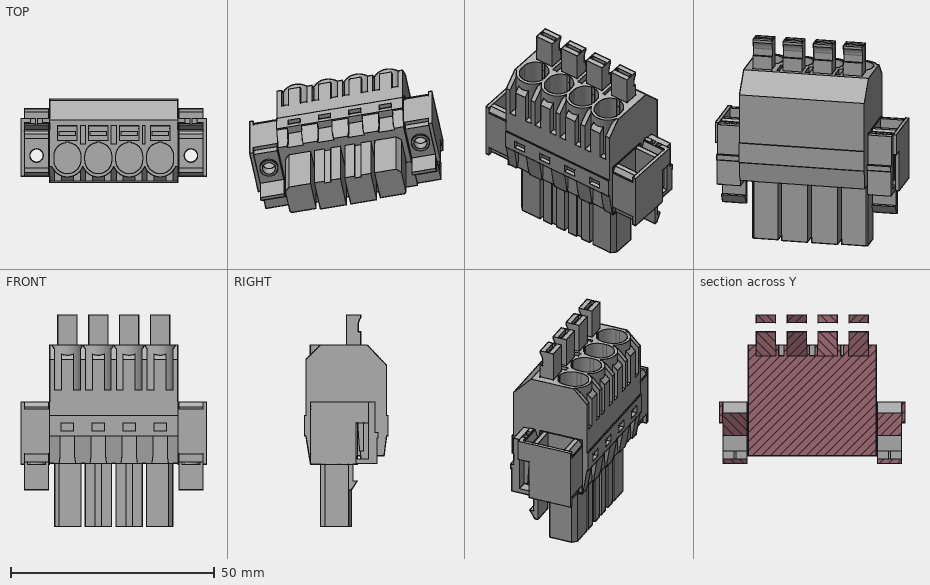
import cadquery as cq


pitch = 7.6
pole_xs = [(i - 1.5) * pitch for i in range(4)]

body_width = 31.55
half_body = body_width / 2
body_half_depth = 9.95
body_top = 44.7
back_bevel_depth = 4.8
back_bevel_height = 5.0
front_bevel = 3.6

band_depth = 20.6
band_half_depth = band_depth / 2
band_top = 27.35
band_bottom = 22.3
skirt_front_bottom = 15.6
skirt_back_bottom = 17.4
skirt_front_foot = 8.85
skirt_back_foot = 9.35

window_width = 3.0
window_bottom = 23.55
window_height = 2.0
window_depth = 1.05
channel_half_width = 1.75
channel_flare = 0.25
channel_flare_z = 17.45
channel_floor_y = -8.45

entry_floor = 33.6
collar_radius = 4.05
collar_y = -4.85
opening_width = 6.65
opening_length = 7.65
opening_y = -4.25
key_groove_width = 0.85
key_groove_depth = 0.15
rib_width = 2.95
slot_inner_x = rib_width / 2
slot_outer_x = 3.2

top_grooves = [(-pitch, 1.25), (0, 1.25), (7.35, 0.6)]
top_groove_back = 3.75
top_groove_length = 4.55
top_groove_depth = 2.6

leg_width = 6.5
outer_leg_spacing = 22.55
outer_leg_x = outer_leg_spacing / 2
inner_leg_x = 3.8
leg_front = -6.35
leg_back = 1.3
leg_front_chamfer = 1.1
outer_leg_back = 0.95
leg_back_chamfer = 0.35
leg_groove_width = 1.55
leg_groove_depth = 0.5

lever_width = 4.8
lever_back = 3.6
lever_front = 0.0
lever_top = 52.1
lever_depth = 2.6
lever_bottom = body_top - lever_depth
lever_back_gap = 0.15
grip_depth = 0.6
grip_mid_depth = 0.44
grip_bottom = 48.0
grip_flat_top = 49.75
grip_top = 51.45
driver_slot_width = 4.05
driver_slot_length = 1.0
driver_slot_y = (lever_front + lever_back) / 2
driver_slot_depth = 1.05

total_width = 45.7
half_total = total_width / 2
end_wall = 0.9
inner_pad = 0.25
pocket_front = -8.75
pocket_front_wall = 0.9
pocket_back = 5.45
pocket_back_wall = 1.05
pocket_top = 30.7
pocket_bottom = 15.3
pad_back = 2.7
side_window_front = 2.45
side_window_top = 25.55
key_slot_width = 2.85

clip_outer_x = half_total - end_wall
clip_inner_x = half_body + inner_pad
clip_width = clip_outer_x - clip_inner_x
clip_x = (clip_outer_x + clip_inner_x) / 2
clip_hook_top = 28.95
clip_floor = 17.85
clip_bottom = 15.95
clip_front_inner = -6.65
clip_bevel_depth = 0.9
clip_bevel_height = 1.25
tongue_front = 0.5
tongue_back = 1.65
tongue_bottom = 9.0
tongue_bottom_back = 1.3
barb_tip_y = 2.7
barb_z = 11.25
partition_back = 2.35
partition_chamfer = 0.7
foot_bottom = 15.5
foot_top = 16.7
plate_back = 7.05
plate_lower_back = 7.6
ridge_back = 7.85
ridge_top = 23.15
ridge_bottom = 21.8
spring_back = 4.2
spring_top_front = 3.9
spring_bulge_front = 2.7
spring_bulge_z = 27.1
spring_tip_front = 3.3
spring_bottom = 18.55
web_width = 0.55
web_heel_front = 3.55
screw_hole_diameter = 3.25
screw_boss_diameter = 4.5
screw_y = -3.65


def box(x0, x1, y0, y1, z0, z1):
    """Box between two opposite corners."""
    return cq.Workplane("XY").box(x1 - x0, y1 - y0, z1 - z0, centered=False).translate((x0, y0, z0))


def extrude_along_x(points, width):
    """Solid with a (Y, Z) outline, centred on X = 0."""
    return cq.Workplane("YZ").polyline(points).close().extrude(width / 2, both=True)


def make_body():
    """Bevelled block with its band and skirt."""
    outline = [
        (-body_half_depth + front_bevel, body_top),
        (body_half_depth - back_bevel_depth, body_top),
        (body_half_depth, body_top - back_bevel_height),
        (body_half_depth, band_top),
        (band_half_depth, band_top),
        (band_half_depth, band_bottom),
        (body_half_depth, band_bottom),
        (skirt_back_foot, skirt_back_bottom),
        (leg_back, skirt_back_bottom),
        (leg_back, skirt_front_bottom),
        (-skirt_front_foot, skirt_front_bottom),
        (-body_half_depth, band_bottom),
        (-band_half_depth, band_bottom),
        (-band_half_depth, band_top),
        (-body_half_depth, band_top),
        (-body_half_depth, body_top - front_bevel),
    ]
    return extrude_along_x(outline, body_width)


def add_wire_entry(body, x):
    """Two front slots with a rib between them, and a collar with its keyed opening."""
    for side in (-1, 1):
        x0, x1 = sorted((x + side * slot_inner_x, x + side * slot_outer_x))
        body = body.cut(box(x0, x1, -band_half_depth, collar_y, entry_floor, body_top))
    height = body_top - entry_floor
    base = cq.Workplane("XY", origin=(x, 0, entry_floor))
    collar = base.center(0, collar_y).circle(collar_radius).extrude(height)
    opening = base.center(0, opening_y).slot2D(opening_length, opening_width, 90).extrude(height)
    half_key = key_groove_width / 2
    key_back = opening_y + opening_length / 2 + key_groove_depth
    key_groove = box(x - half_key, x + half_key, opening_y, key_back, entry_floor, body_top)
    return body.union(collar).cut(opening).cut(key_groove)


def band_window(x):
    half = window_width / 2
    front = -band_half_depth
    return box(x - half, x + half, front, front + window_depth, window_bottom, window_bottom + window_height)


def skirt_channel(x):
    """Front channel of the skirt, flaring at its lower end."""
    half = channel_half_width
    flared = half + channel_flare
    outline = [
        (-half, band_bottom),
        (half, band_bottom),
        (half, channel_flare_z),
        (flared, skirt_front_bottom),
        (-flared, skirt_front_bottom),
        (-half, channel_flare_z),
    ]
    depth = band_half_depth + channel_floor_y
    plane = cq.Workplane("XZ", origin=(x, channel_floor_y, 0))
    return plane.polyline(outline).close().extrude(depth)


def top_groove(x, width):
    front = top_groove_back - top_groove_length
    return box(x - width / 2, x + width / 2, front, top_groove_back, body_top - top_groove_depth, body_top)


def lever_hole(x):
    """Recess for the foot of a lever, with a small gap behind it."""
    half = lever_width / 2
    return box(x - half, x + half, lever_front, lever_back + lever_back_gap, lever_bottom, body_top)


def make_leg(x, back):
    half = leg_width / 2
    return box(x - half, x + half, leg_front, back, 0, skirt_front_bottom)


def make_outer_leg(side):
    """Leg at one end of the row, with its two outward edges chamfered."""
    leg = make_leg(side * outer_leg_x, outer_leg_back)
    outward = ">X" if side > 0 else "<X"
    leg = leg.faces(outward).edges("|Z and <Y").chamfer(leg_front_chamfer)
    return leg.edges("|Z").edges(">Y").edges(outward).chamfer(leg_back_chamfer)


def make_inner_leg(side):
    """Leg inside the row, with a groove down its front."""
    x = side * inner_leg_x
    half = leg_groove_width / 2
    groove = box(x - half, x + half, leg_front, leg_front + leg_groove_depth, 0, skirt_front_bottom)
    return make_leg(x, leg_back).cut(groove)


def make_left_pocket():
    """Walls at the -X end that hold a latch clip."""
    outer = -half_total
    inner = -half_body
    front_wall_back = pocket_front + pocket_front_wall
    back_wall_front = pocket_back - pocket_back_wall
    end = box(outer, -clip_outer_x, pocket_front, pocket_back, pocket_bottom, pocket_top)
    side_window = box(outer, -clip_outer_x, side_window_front, pocket_back, pocket_bottom, side_window_top)
    front = box(outer, inner, pocket_front, front_wall_back, clip_floor, clip_hook_top)
    back = box(outer, inner, back_wall_front, pocket_back, side_window_top, pocket_top)
    half_key = key_slot_width / 2
    key_slot = box(-clip_x - half_key, -clip_x + half_key, back_wall_front, pocket_back,
                   side_window_top, pocket_top)
    pad = box(-clip_inner_x, inner, pocket_front, pad_back, pocket_bottom, pocket_top)
    return end.cut(side_window).union(front).union(back.cut(key_slot)).union(pad)


def make_housing():
    housing = make_body()
    for x in pole_xs:
        housing = add_wire_entry(housing, x)
        housing = housing.cut(band_window(x)).cut(skirt_channel(x)).cut(lever_hole(x))
    for x, width in top_grooves:
        housing = housing.cut(top_groove(x, width))
    for side in (-1, 1):
        housing = housing.union(make_outer_leg(side)).union(make_inner_leg(side))
    pocket = make_left_pocket()
    return housing.union(pocket).union(pocket.mirror("YZ"))


def make_lever(x):
    """Release lever with a thumb grip at the back and a screwdriver slot in the top."""
    grip_y = lever_back - grip_depth
    grip_mid = (lever_back - grip_mid_depth, (grip_flat_top + grip_top) / 2)
    lever = (
        cq.Workplane("YZ")
        .moveTo(lever_front, lever_bottom)
        .lineTo(lever_back, lever_bottom)
        .lineTo(lever_back, grip_bottom)
        .lineTo(grip_y, grip_bottom)
        .lineTo(grip_y, grip_flat_top)
        .threePointArc(grip_mid, (lever_back, grip_top))
        .lineTo(lever_back, lever_top)
        .lineTo(lever_front, lever_top)
        .close()
        .extrude(lever_width / 2, both=True)
    )
    half_x = driver_slot_width / 2
    half_y = driver_slot_length / 2
    driver_slot = box(-half_x, half_x, driver_slot_y - half_y, driver_slot_y + half_y,
                      lever_top - driver_slot_depth, lever_top)
    return lever.cut(driver_slot).translate((x, 0, 0))


def make_clip_frame():
    """Hooked front wall, floor, barbed tongue, foot and back plate as one bent strip."""
    front_inside = pocket_front + pocket_front_wall
    outline = [
        (front_inside, clip_bottom),
        (tongue_front, clip_bottom),
        (tongue_front, tongue_bottom),
        (tongue_bottom_back, tongue_bottom),
        (barb_tip_y, barb_z),
        (tongue_back, barb_z),
        (tongue_back, foot_bottom),
        (plate_lower_back, foot_bottom),
        (plate_lower_back, ridge_bottom),
        (ridge_back, ridge_bottom),
        (ridge_back, ridge_top),
        (plate_back, ridge_top),
        (plate_back, pocket_top),
        (pocket_back, pocket_top),
        (pocket_back, foot_top),
        (partition_back, foot_top),
        (partition_back, pocket_top - partition_chamfer),
        (tongue_back, pocket_top),
        (tongue_front, pocket_top),
        (tongue_front, clip_floor),
        (clip_front_inner, clip_floor),
        (clip_front_inner, pocket_top),
        (pocket_front + clip_bevel_depth, pocket_top),
        (pocket_front, pocket_top - clip_bevel_height),
        (pocket_front, clip_hook_top),
        (front_inside, clip_hook_top),
    ]
    return extrude_along_x(outline, clip_width)


def make_spring_arm():
    """Arm in front of the back plate, with the web that joins it to the plate."""
    outline = [
        (spring_back, pocket_top),
        (spring_top_front, pocket_top),
        (spring_bulge_front, spring_bulge_z),
        (spring_tip_front, spring_bottom),
        (spring_back, spring_bottom),
    ]
    half = web_width / 2
    upper_web = box(-half, half, spring_back, pocket_back, spring_bottom, pocket_top)
    lower_web = box(-half, half, web_heel_front, pocket_back, foot_top, spring_bottom)
    return extrude_along_x(outline, clip_width).union(upper_web).union(lower_web)


def make_clip(x):
    """Latch clip with a screw hole and a short boss under its floor."""
    boss = (
        cq.Workplane("XY", origin=(0, screw_y, pocket_bottom))
        .circle(screw_boss_diameter / 2)
        .extrude(clip_bottom - pocket_bottom)
    )
    hole = (
        cq.Workplane("XY", origin=(0, screw_y, pocket_bottom))
        .circle(screw_hole_diameter / 2)
        .extrude(clip_floor - pocket_bottom)
    )
    clip = make_clip_frame().union(make_spring_arm()).union(boss).cut(hole)
    return clip.translate((x, 0, 0))


housing = make_housing()
levers = [make_lever(x) for x in pole_xs]
clips = [make_clip(side * clip_x) for side in (-1, 1)]

result = cq.Compound.makeCompound(
    [housing.val(), *[lever.val() for lever in levers], *[clip.val() for clip in clips]]
)